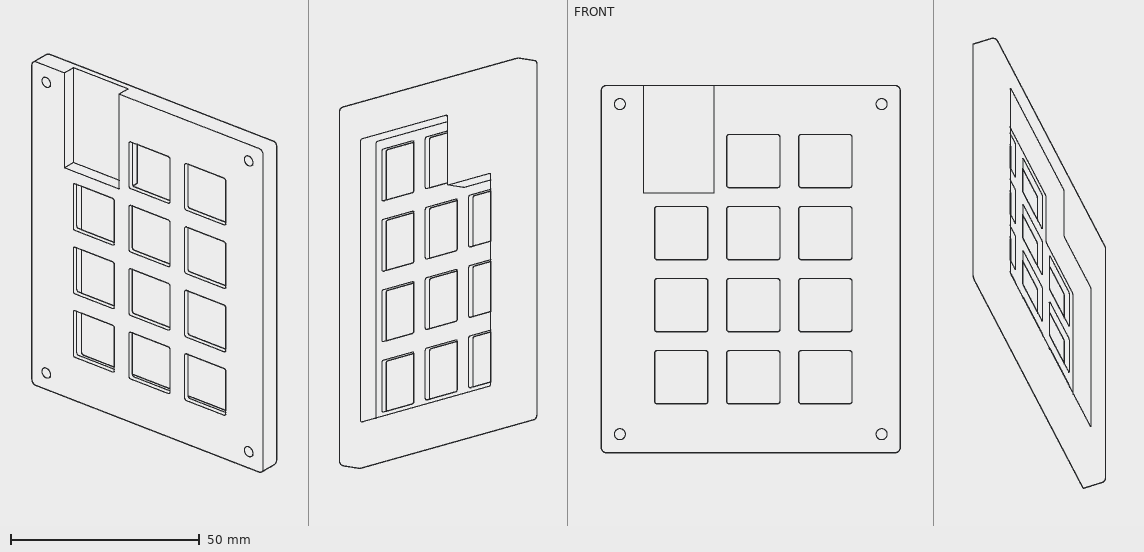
import cadquery as cq

width = 79.2
thickness = 6.6
height = 97.35
edge_radius = 1.5

key_pitch = 19.1
key_opening = 14.0
key_corner_radius = 0.6
key_columns = 3
key_rows = 4
grid_offset_x = 0.7
key_plate_thickness = 1.5
cavity_bottom_clearance = 0.4

recess_width = 18.7
recess_height = 28.5
recess_depth = 3.8
recess_left = 11.2

screw_diameter = 2.9
screw_inset = 5.0
screw_depth = 4.0


def box_between(x_range, y_range, z_range):
    """Box filling the given (low, high) ranges along the three axes."""
    (x0, x1), (y0, y1), (z0, z1) = x_range, y_range, z_range
    return cq.Workplane("XY").box(x1 - x0, y1 - y0, z1 - z0, centered=False).translate((x0, y0, z0))


def case_body():
    body = box_between((-width / 2, width / 2), (0, thickness), (-height / 2, height / 2))
    body = body.edges("|Y").fillet(edge_radius)
    return body.faces(">Y").edges().fillet(edge_radius)


def key_centres():
    """Centres (x, z) of all keys; the top left place belongs to the display."""
    centres = []
    for column in range(key_columns):
        for row in range(key_rows):
            if column == 0 and row == key_rows - 1:
                continue
            x = grid_offset_x + (column - (key_columns - 1) / 2) * key_pitch
            z = (row - (key_rows - 1) / 2) * key_pitch
            centres.append((x, z))
    return centres


def key_openings():
    openings = cq.Workplane("XZ").pushPoints(key_centres()).rect(key_opening, key_opening)
    return openings.extrude(-thickness).edges("|Y").fillet(key_corner_radius)


def back_cavity():
    """L-shaped cavity behind the keys, one pitch square per key, open at the back."""
    left = grid_offset_x - key_columns * key_pitch / 2
    right = left + key_columns * key_pitch
    top = key_rows * key_pitch / 2
    bottom = -top - cavity_bottom_clearance
    depth_range = (key_plate_thickness, thickness)
    full_rows = box_between((left, right), depth_range, (bottom, top - key_pitch))
    top_row = box_between((left + key_pitch, right), depth_range, (bottom, top))
    return full_rows.union(top_row).edges("|Y").fillet(key_corner_radius)


def display_recess():
    left = -width / 2 + recess_left
    top = height / 2
    return box_between((left, left + recess_width), (0, recess_depth), (top - recess_height, top))


def screw_holes():
    spacing_x = width - 2 * screw_inset
    spacing_z = height - 2 * screw_inset
    corners = cq.Workplane("XZ").rect(spacing_x, spacing_z, forConstruction=True).vertices()
    return corners.circle(screw_diameter / 2).extrude(-screw_depth)


result = (
    case_body()
    .cut(back_cavity())
    .cut(key_openings())
    .cut(display_recess())
    .cut(screw_holes())
)